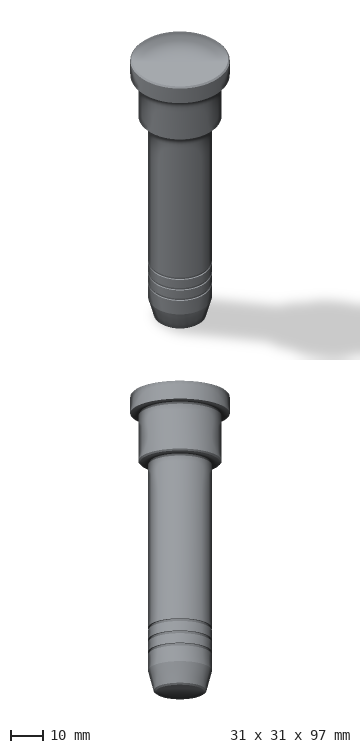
import cadquery as cq
import math

total_length = 97.0
head_diameter = 31.0
head_height = 6.0
head_chamfer = 0.5
collar_diameter = 26.0
collar_height = 16.0
collar_chamfer = 0.5
shaft_diameter = 20.0

taper_height = 7.0
taper_angle = 15.0
tip_chamfer = 0.5

relief_width = 0.9
relief_depth = 0.5
groove_width = 0.9
groove_depth = 0.5
groove_pitch = 4.0
groove_count = 3
first_groove_bottom = 12.1

head_bottom = total_length - head_height
collar_bottom = head_bottom - collar_height
tip_radius = shaft_diameter / 2 - taper_height * math.tan(math.radians(taper_angle))


def cylinder(diameter, bottom, top):
    """Solid cylinder about Z between two heights."""
    return cq.Workplane("XY").workplane(offset=bottom).circle(diameter / 2).extrude(top - bottom)


def ring_groove(diameter, bottom, width, depth):
    """Cutter for a square groove around a cylinder of the given diameter."""
    outer = cylinder(diameter + 2 * depth, bottom, bottom + width)
    core = cylinder(diameter - 2 * depth, bottom, bottom + width)
    return outer.cut(core)


head = cylinder(head_diameter, head_bottom, total_length).faces(">Z").chamfer(head_chamfer)
collar = cylinder(collar_diameter, collar_bottom, head_bottom).faces("<Z").chamfer(collar_chamfer)
shaft = cylinder(shaft_diameter, taper_height, collar_bottom)

tip = (
    cq.Workplane("XZ")
    .polyline([(0, 0), (tip_radius, 0), (shaft_diameter / 2, taper_height), (0, taper_height)])
    .close()
    .revolve(360, (0, 0, 0), (0, 1, 0))
    .faces("<Z")
    .chamfer(tip_chamfer)
)

result = head.union(collar).union(shaft).union(tip)

for diameter, shoulder in ((collar_diameter, head_bottom), (shaft_diameter, collar_bottom)):
    result = result.cut(ring_groove(diameter, shoulder - relief_width, relief_width, relief_depth))

for index in range(groove_count):
    groove_bottom = first_groove_bottom + index * groove_pitch
    result = result.cut(ring_groove(shaft_diameter, groove_bottom, groove_width, groove_depth))